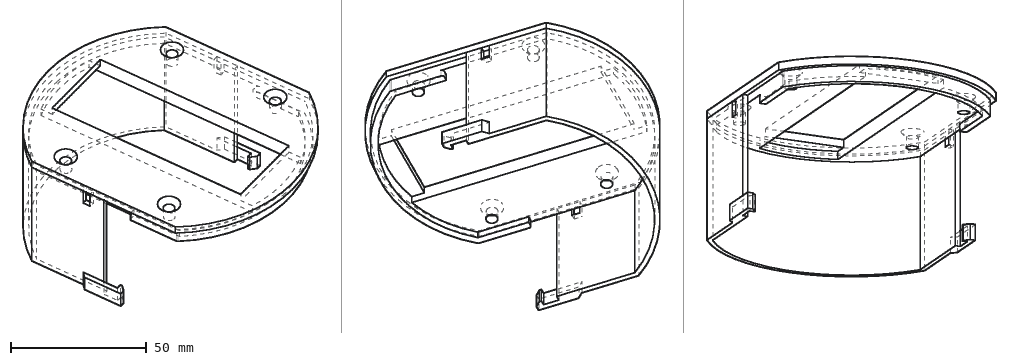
import cadquery as cq
import math

outer_radius = 54.3
flat_half_width = 44.0
total_height = 50.0
overall_width = 92.0
wall = overall_width / 2 - flat_half_width

plate_thickness = 3.0
plug_thickness = 3.1
rim_depth = 2.9
rim_thickness = 2.8
rim_start_x = 10.0
corner_fillet = 1.0
window_length = 83.6
window_width = 31.7
hole_x = 22.9
hole_y = 35.0
hole_diameter = 4.3
countersink_diameter = 8.5
countersink_angle = 90.0

clip_height = 6.2
clip_start_x = -9.1
clip_end_x = 8.9
hook_length = 2.8
slot_width = 3.0
slot_depth = 6.1

plate_bottom = -plate_thickness
plug_bottom = plate_bottom - plug_thickness
rim_bottom = plug_bottom - rim_depth
housing_bottom = -total_height

plug_radius = outer_radius - wall
plug_flat = flat_half_width - wall
rim_inner_radius = plug_radius - rim_thickness
rim_inner_flat = plug_flat - rim_thickness


def flatted_disc(radius, flat, bottom, top):
    """Disc between two levels, cut flat at Y = -flat and Y = +flat."""
    corner_x = math.sqrt(radius**2 - flat**2)
    return (
        cq.Workplane("XY", origin=(0, 0, bottom))
        .moveTo(-corner_x, -flat)
        .lineTo(corner_x, -flat)
        .threePointArc((radius, 0), (corner_x, flat))
        .lineTo(-corner_x, flat)
        .threePointArc((-radius, 0), (-corner_x, -flat))
        .close()
        .extrude(top - bottom)
    )


def half_space(start_x, direction):
    """Block that covers everything on one side of X = start_x."""
    size = 2 * outer_radius
    return cq.Workplane("XY").box(size, size, size).translate((start_x + direction * size / 2, 0, 0))


def make_rim():
    """Thin wall under the +X part of the plug, rounded at its outer corners."""
    outside = flatted_disc(plug_radius, plug_flat, rim_bottom, plug_bottom)
    outside = outside.intersect(half_space(rim_start_x, 1)).edges("|Z").fillet(corner_fillet)
    inside = flatted_disc(rim_inner_radius, rim_inner_flat, rim_bottom, plug_bottom)
    return outside.cut(inside)


def make_lid():
    """Top plate with its plug, rim, window and countersunk holes."""
    plate = flatted_disc(outer_radius, flat_half_width, plate_bottom, 0)
    plug = flatted_disc(plug_radius, plug_flat, plug_bottom, plate_bottom)
    plug = plug.edges("|Z").fillet(corner_fillet)

    opening = flatted_disc(rim_inner_radius, window_width / 2, plug_bottom, plate_bottom)
    lid = plate.union(plug.cut(opening)).union(make_rim())

    window = cq.Workplane("XY").rect(window_length, window_width).extrude(plate_bottom)
    return (
        lid.cut(window)
        .faces(">Z")
        .workplane(origin=(0, 0, 0))
        .rect(2 * hole_x, 2 * hole_y, forConstruction=True)
        .vertices()
        .cskHole(hole_diameter, countersink_diameter, countersink_angle)
    )


def make_clip():
    """Clip on the +Y side: a bar outside the wall with an inward hook at its end."""
    bar_y = flat_half_width
    return (
        cq.Workplane("XY", origin=(0, 0, housing_bottom))
        .moveTo(clip_start_x, bar_y)
        .lineTo(clip_start_x + wall, bar_y + wall)
        .lineTo(clip_end_x, bar_y + wall)
        .lineTo(clip_end_x, bar_y)
        .lineTo(clip_end_x - wall, bar_y - wall)
        .lineTo(clip_end_x - hook_length, bar_y - wall)
        .lineTo(clip_end_x - hook_length, bar_y)
        .close()
        .extrude(clip_height)
    )


def make_housing():
    """Half-round wall on the -X side, with a slot and a clip on each flat."""
    outside = flatted_disc(outer_radius, flat_half_width, housing_bottom, plate_bottom)
    inside = flatted_disc(plug_radius, plug_flat, housing_bottom, plate_bottom)
    housing = outside.cut(inside).intersect(half_space(0, -1))

    slots = (
        cq.Workplane("XY", origin=(clip_start_x + slot_width / 2, 0, plate_bottom))
        .rect(slot_width, 2 * flat_half_width)
        .extrude(-slot_depth)
    )
    clip = make_clip()
    return housing.cut(slots).union(clip).union(clip.mirror("XZ"))


lid = make_lid()
housing = make_housing()

result = cq.Compound.makeCompound([lid.solids().val(), housing.solids().val()])